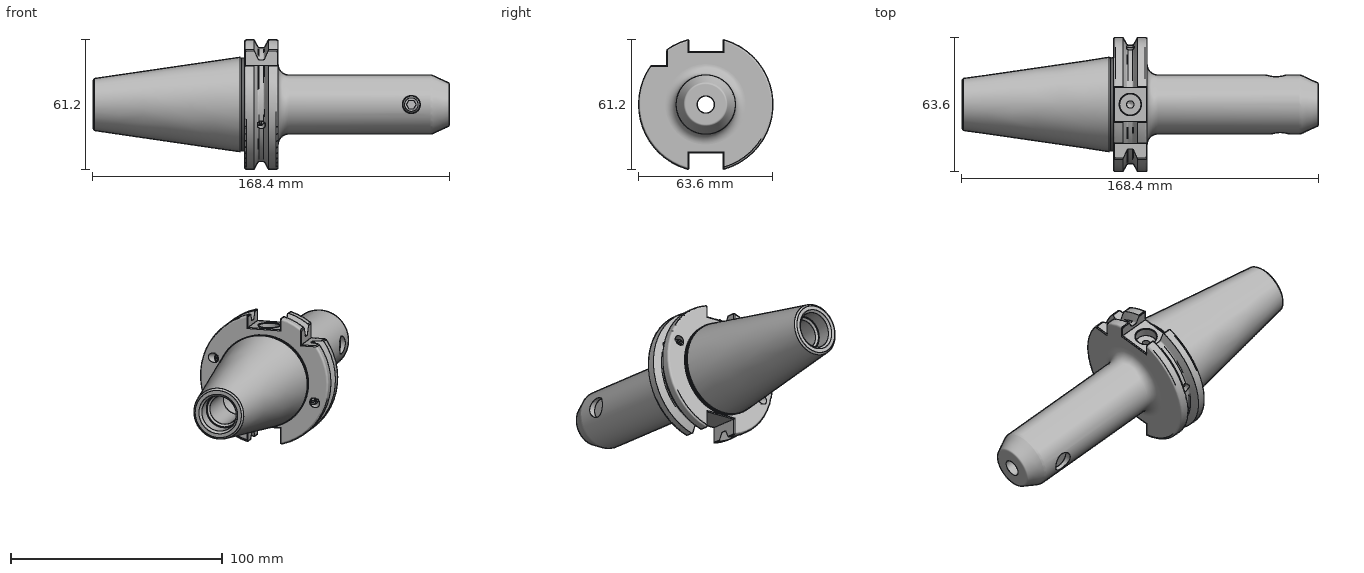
import cadquery as cq
import math


GAUGE_R = 22.225
TAPER_SLOPE = 7 / 48
TAPER_BACK = -68.4
TAPER_FRONT = 1.0
TAPER_EDGE = 0.8

NECK_R = 22.1
RELIEF_R = 22.0
RELIEF_BACK = 1.8
RELIEF_FRONT = 2.5

FLANGE_R = 31.775
FLANGE_BACK = 3.2
FLANGE_FRONT = 19.1
FLANGE_EDGE_R = 1.0
GROOVE_X = 11.1
GROOVE_WIDTH = 7.0
GROOVE_FLOOR_R = 28.1
GROOVE_HALF_ANGLE = math.radians(30)
GROOVE_FILLET_R = 0.7

REACH = 100.0
SHANK_R = 14.0
SHANK_FILLET_R = 5.0
NOSE_CONE_LENGTH = 8.4
NOSE_CONE_ANGLE = math.radians(25)
NOSE_SHOULDER_R = 2.5
NOSE_EDGE_R = 1.0

BORE_R = 4.0
MOUTH_CHAMFER = 1.1
SOCKET_R = 8.5
SOCKET_DEPTH = 8.0
THREAD_R = 7.0
THREAD_LEAD_R = 8.0
THREAD_DEPTH = 30.0
DRILL_HALF_ANGLE = math.radians(59)

SLOT_WIDTH = 16.1
SLOT_TOP_Z = 25.0
SLOT_BOTTOM_Z = -22.8
NOTCH_OFFSET = 18.5
SLOT_EDGE = 0.45

CHIP_HOLE_R = 5.0
CHIP_HOLE_DEPTH = 4.6
CHIP_HOLE_EDGE = 0.3
PILOT_R = 1.75
PILOT_DEPTH = 4.0

COOLANT_ANGLE = math.radians(20)
COOLANT_TILT = math.radians(30)
COOLANT_MOUTH_R = 26.7
COOLANT_HOLE_R = 2.2
CROSS_HOLE_R = 1.9

PLUG_SETBACK = 3.0
PLUG_LENGTH = 4.0
PLUG_HEX = 2.0
PLUG_HEX_DEPTH = 2.0
PLUG_SINK_R = 1.5
PLUG_SINK_FLOOR_R = 0.9
PLUG_SINK_DEPTH = 0.6

CLAMP_X = 82.0
CLAMP_RECESS_R = 4.25
CLAMP_HEAD_R = 4.0
CLAMP_HEAD_Y = -12.0
CLAMP_HEAD_CHAMFER = 0.8
CLAMP_HEX = 4.0
CLAMP_HEX_DEPTH = 4.0

BALANCE_X = 80.0
BALANCE_R = 4.8
BALANCE_DEPTH = 3.0

CLEAR = 40.0


def taper_radius(x):
    return GAUGE_R + x * TAPER_SLOPE


def revolve_about_x(profile):
    return profile.close().revolve(360, (0, 0, 0), (1, 0, 0))


def cylinder(radius, start, direction, length):
    return cq.Workplane(cq.Solid.makeCylinder(radius, length, cq.Vector(*start), cq.Vector(*direction)))


def cone(start_radius, end_radius, start, direction, length):
    solid = cq.Solid.makeCone(start_radius, end_radius, length, cq.Vector(*start), cq.Vector(*direction))
    return cq.Workplane(solid)


def along(start, direction, distance):
    return tuple(s + distance * d for s, d in zip(start, direction))


def hex_prism(plane, across_flats, depth):
    return cq.Workplane(plane).polygon(6, across_flats / math.cos(math.pi / 6)).extrude(-depth)



def turned_blank():
    edge_x = TAPER_BACK + TAPER_EDGE
    cone_x = REACH - NOSE_CONE_LENGTH
    nose_r = SHANK_R - NOSE_CONE_LENGTH * math.tan(NOSE_CONE_ANGLE)
    profile = (
        cq.Workplane("XZ")
        .moveTo(TAPER_BACK, 0)
        .lineTo(TAPER_BACK, taper_radius(TAPER_BACK) - TAPER_EDGE)
        .lineTo(edge_x, taper_radius(edge_x))
        .lineTo(TAPER_FRONT, taper_radius(TAPER_FRONT))
        .lineTo(TAPER_FRONT, NECK_R)
        .lineTo(RELIEF_BACK, NECK_R)
        .lineTo(RELIEF_BACK, RELIEF_R)
        .lineTo(RELIEF_FRONT, RELIEF_R)
        .lineTo(RELIEF_FRONT, NECK_R)
        .lineTo(FLANGE_BACK, NECK_R)
        .lineTo(FLANGE_BACK, FLANGE_R - FLANGE_EDGE_R)
        .radiusArc((FLANGE_BACK + FLANGE_EDGE_R, FLANGE_R), FLANGE_EDGE_R)
        .lineTo(FLANGE_FRONT - FLANGE_EDGE_R, FLANGE_R)
        .radiusArc((FLANGE_FRONT, FLANGE_R - FLANGE_EDGE_R), FLANGE_EDGE_R)
        .lineTo(FLANGE_FRONT, SHANK_R + SHANK_FILLET_R)
        .radiusArc((FLANGE_FRONT + SHANK_FILLET_R, SHANK_R), -SHANK_FILLET_R)
        .lineTo(cone_x, SHANK_R)
        .lineTo(REACH, nose_r)
        .lineTo(REACH, 0)
    )
    blank = revolve_about_x(profile).faces(">X").edges().fillet(NOSE_EDGE_R)
    shoulder = cq.selectors.NearestToPointSelector((cone_x, 0, 0))
    return blank.edges("%CIRCLE").edges(shoulder).fillet(NOSE_SHOULDER_R)


def flange_box(y_range, z_range):
    size_y = y_range[1] - y_range[0]
    size_z = z_range[1] - z_range[0]
    box = cq.Workplane("XY").box(FLANGE_FRONT - FLANGE_BACK, size_y, size_z, centered=False)
    return box.translate((FLANGE_BACK, y_range[0], z_range[0]))


def slot_edges(solid):
    """Outer edges of the slot and notch faces, without the notch floor's outer edge."""
    slot_faces = [
        face for face in solid.Faces()
        if face.geomType() == "PLANE"
        and abs(face.normalAt().x) < 0.01
        and FLANGE_BACK < face.Center().x < FLANGE_FRONT
    ]
    face_edges = [edge for face in slot_faces for edge in face.Edges()]
    outer = [edge for edge in face_edges if sum(edge.isSame(other) for other in face_edges) == 1]

    def on_notch_floor_rim(edge):
        box = edge.BoundingBox()
        on_floor = abs(box.zmax - NOTCH_OFFSET) < 0.001
        return on_floor and box.ymax < -NOTCH_OFFSET - 1 and box.xlen > 0.001

    return [edge for edge in outer if not on_notch_floor_rim(edge)]


def cut_slots(body):
    half = SLOT_WIDTH / 2
    body = body.cut(flange_box((-half, half), (SLOT_TOP_Z, CLEAR)))
    body = body.cut(flange_box((-half, half), (-CLEAR, SLOT_BOTTOM_Z)))
    body = body.cut(flange_box((-CLEAR, -NOTCH_OFFSET), (NOTCH_OFFSET, CLEAR)))
    solid = body.val()
    return cq.Workplane(solid.chamfer(SLOT_EDGE, None, slot_edges(solid)))


def gripper_groove():
    slope = math.tan(GROOVE_HALF_ANGLE)
    floor_half = GROOVE_WIDTH / 2 - (FLANGE_R - GROOVE_FLOOR_R) * slope
    mouth_r = FLANGE_R + 1
    mouth_half = floor_half + (mouth_r - GROOVE_FLOOR_R) * slope
    tangent = GROOVE_FILLET_R * math.tan((math.pi / 2 - GROOVE_HALF_ANGLE) / 2)
    flat_half = floor_half - tangent
    flank_half = floor_half + tangent * math.sin(GROOVE_HALF_ANGLE)
    flank_r = GROOVE_FLOOR_R + tangent * math.cos(GROOVE_HALF_ANGLE)
    profile = (
        cq.Workplane("XZ")
        .moveTo(GROOVE_X - mouth_half, mouth_r)
        .lineTo(GROOVE_X - flank_half, flank_r)
        .radiusArc((GROOVE_X - flat_half, GROOVE_FLOOR_R), -GROOVE_FILLET_R)
        .lineTo(GROOVE_X + flat_half, GROOVE_FLOOR_R)
        .radiusArc((GROOVE_X + flank_half, flank_r), -GROOVE_FILLET_R)
        .lineTo(GROOVE_X + mouth_half, mouth_r)
    )
    return revolve_about_x(profile)


def bore():
    socket_x = TAPER_BACK + SOCKET_DEPTH
    thread_x = TAPER_BACK + THREAD_DEPTH
    drill_point = (THREAD_R - BORE_R) / math.tan(DRILL_HALF_ANGLE)
    profile = (
        cq.Workplane("XZ")
        .moveTo(TAPER_BACK, 0)
        .lineTo(TAPER_BACK, SOCKET_R + MOUTH_CHAMFER)
        .lineTo(TAPER_BACK + MOUTH_CHAMFER, SOCKET_R)
        .lineTo(socket_x, SOCKET_R)
        .lineTo(socket_x, THREAD_LEAD_R)
        .lineTo(socket_x + THREAD_LEAD_R - THREAD_R, THREAD_R)
        .lineTo(thread_x, THREAD_R)
        .lineTo(thread_x + drill_point, BORE_R)
        .lineTo(REACH, BORE_R)
        .lineTo(REACH, 0)
    )
    return revolve_about_x(profile)


def chip_hole():
    up = (0, 0, 1)
    floor_z = SLOT_TOP_Z - CHIP_HOLE_DEPTH
    pilot_z = floor_z - PILOT_DEPTH
    point = PILOT_R / math.tan(DRILL_HALF_ANGLE)
    edge_start = (GROOVE_X, 0, SLOT_TOP_Z - CHIP_HOLE_EDGE)
    hole = cylinder(CHIP_HOLE_R, (GROOVE_X, 0, floor_z), up, CHIP_HOLE_DEPTH)
    hole = hole.union(cone(CHIP_HOLE_R, CHIP_HOLE_R + CHIP_HOLE_EDGE, edge_start, up, CHIP_HOLE_EDGE))
    hole = hole.union(cylinder(PILOT_R, (GROOVE_X, 0, pilot_z), up, PILOT_DEPTH))
    return hole.union(cone(0, PILOT_R, (GROOVE_X, 0, pilot_z - point), up, point))


def coolant_axis(side):
    """Radial direction, mouth point and inward direction of the coolant hole on one side."""
    radial = (0, side * math.cos(COOLANT_ANGLE), side * math.sin(COOLANT_ANGLE))
    mouth = along((FLANGE_BACK, 0, 0), radial, COOLANT_MOUTH_R)
    inward = along((math.cos(COOLANT_TILT), 0, 0), radial, -math.sin(COOLANT_TILT))
    return radial, mouth, inward


def coolant_holes(side):
    radial, mouth, inward = coolant_axis(side)
    overrun = 2.0
    run = (GROOVE_X - FLANGE_BACK) / math.cos(COOLANT_TILT)
    junction_r = COOLANT_MOUTH_R - run * math.sin(COOLANT_TILT)
    tilted = cylinder(COOLANT_HOLE_R, along(mouth, inward, -overrun), inward, overrun + run)
    cross = cylinder(CROSS_HOLE_R, along((GROOVE_X, 0, 0), radial, junction_r), radial, FLANGE_R - junction_r)
    return tilted.union(cross)


def clamp_recess():
    """Recess around the clamp screw head, leaving its chamfered face, with a hex socket."""
    head_plane = cq.Plane(origin=(CLAMP_X, CLAMP_HEAD_Y, 0), xDir=(1, 0, 0), normal=(0, -1, 0))
    outward = (0, -1, 0)
    ring_floor = (CLAMP_X, CLAMP_HEAD_Y + CLAMP_HEAD_CHAMFER, 0)
    recess = cylinder(CLAMP_RECESS_R, ring_floor, outward, SHANK_R)
    head = cone(CLAMP_HEAD_R, CLAMP_HEAD_R - CLAMP_HEAD_CHAMFER, ring_floor, outward, CLAMP_HEAD_CHAMFER)
    return recess.cut(head).union(hex_prism(head_plane, CLAMP_HEX, CLAMP_HEX_DEPTH))


def balance_hole():
    return cylinder(BALANCE_R, (BALANCE_X, SHANK_R - BALANCE_DEPTH, 0), (0, 1, 0), SHANK_R)


housing = cut_slots(turned_blank())
housing = housing.cut(gripper_groove())
housing = housing.cut(bore())
housing = housing.cut(chip_hole())
for side in (1, -1):
    housing = housing.cut(coolant_holes(side))
housing = housing.cut(clamp_recess())
housing = housing.cut(balance_hole())



def sealing_plug(side):
    _, mouth, inward = coolant_axis(side)
    top = along(mouth, inward, PLUG_SETBACK)
    outward = tuple(-component for component in inward)
    across = (0, -math.sin(COOLANT_ANGLE), math.cos(COOLANT_ANGLE))
    plug = cylinder(COOLANT_HOLE_R, top, inward, PLUG_LENGTH)
    plug = plug.cut(hex_prism(cq.Plane(origin=top, xDir=across, normal=outward), PLUG_HEX, PLUG_HEX_DEPTH))
    return plug.cut(cone(PLUG_SINK_R, PLUG_SINK_FLOOR_R, top, inward, PLUG_SINK_DEPTH))


plugs = [sealing_plug(side).solids().val() for side in (1, -1)]

result = cq.Compound.makeCompound([housing.solids().val(), *plugs])